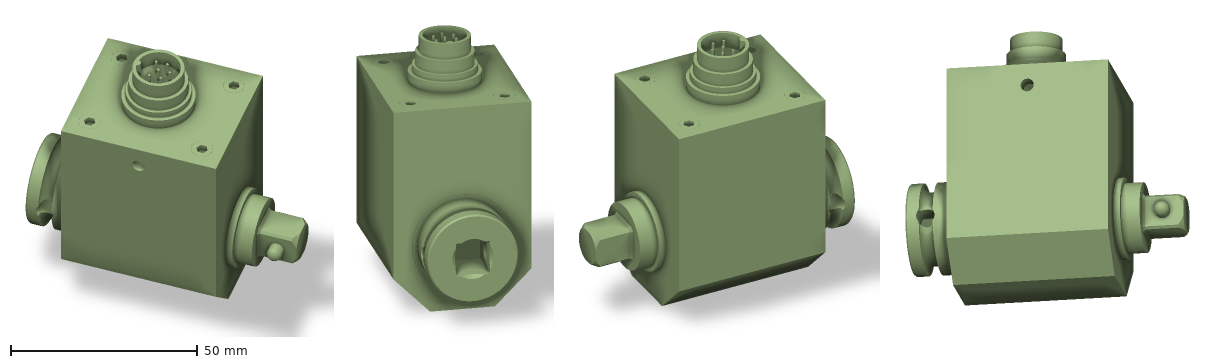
import cadquery as cq
import math


overall_length = 74.5

length = 44.1
width = 38.0
height = 57.95
axis_height = width / 2
edge_chamfer = 10.05
top = height - axis_height
bottom = -axis_height

ring_outer_diameter = 28.0
ring_inner_diameter = 27.4
ring_depth = 0.2

socket_length = 12.45
socket_diameter = 25.0
rim_length = 0.45
rim_inset = 0.4
groove_width = 3.8
groove_depth = 2.6
groove_setback = 5.6
cross_hole_setback = 5.5
cross_hole_diameter = 5.0
socket_square = 9.45
socket_corner_radius = 0.3
socket_depth = 11.9
lead_in_diameter = 11.5

flange_length = 1.8
flange_diameter = 22.05
collar_length = 5.1
collar_diameter = 19.0
drive_length = overall_length - socket_length - length - flange_length - collar_length
drive_square = 9.5
drive_edge_chamfer = 0.7
root_flare = 0.7
flare_edge_chamfer = drive_edge_chamfer + root_flare * (2 - math.sqrt(2))
tip_radius = 5.0
tip_cone_length = 1.6
tip_cone_rise = 1.4
pin_diameter = 4.0
pin_straight = 2.0
pin_setback = 5.6

connector_x = -1.0
connector_steps = [(20.0, 3.0), (17.7, 1.85), (16.0, 3.7), (14.0, 4.5)]
connector_bore = 12.0
connector_bore_depth = 4.55
key_diameter = 1.9
contact_diameter = 0.75
contact_height = 3.9
contact_circle_radius = 3.2
contact_angles = [-120, -60, 0, 60, 120]

screw_pitch_x = 31.95
screw_pitch_y = 25.9
screw_recess_diameter = 5.8
screw_head_diameter = 5.7
screw_gap_depth = 0.2
hexagon_corners = 3.2
hexagon_depth = 1.85

front_hole_diameter = 3.6
front_hole_depth = 4.5
front_hole_drop = 5.95
drill_point_angle = 118.0

socket_face = -length / 2 - socket_length
collar_start = length / 2 + flange_length
drive_start = collar_start + collar_length
drive_tip = drive_start + drive_length


def x_plane(x):
    return cq.Workplane("YZ", origin=(x, 0, 0))


def z_plane(z, x=0.0):
    return cq.Workplane("XY", origin=(x, 0, z))


def x_cylinder(x, diameter, cylinder_length):
    return x_plane(x).circle(diameter / 2).extrude(cylinder_length)


def turned(outline):
    """Revolve an outline drawn in X and radius about the drive axis."""
    return outline.close().revolve(360, (0, 0, 0), (1, 0, 0))


def make_housing():
    block = cq.Workplane("XY").box(length, width, height).translate((0, 0, (top + bottom) / 2))
    block = block.edges("|X and <Z").chamfer(edge_chamfer)
    ring = (
        x_plane(-length / 2)
        .circle(ring_outer_diameter / 2)
        .circle(ring_inner_diameter / 2)
        .extrude(ring_depth)
    )
    return block.cut(ring)


def make_socket():
    radius = socket_diameter / 2
    groove_middle = socket_face + groove_setback
    groove_radius = groove_width / 2
    arc_start_radius = radius - groove_depth + groove_radius
    return turned(
        cq.Workplane("XY")
        .moveTo(socket_face, 0)
        .lineTo(socket_face, radius - rim_inset)
        .lineTo(socket_face + rim_length, radius)
        .lineTo(groove_middle - groove_radius, radius)
        .lineTo(groove_middle - groove_radius, arc_start_radius)
        .threePointArc(
            (groove_middle, radius - groove_depth),
            (groove_middle + groove_radius, arc_start_radius),
        )
        .lineTo(groove_middle + groove_radius, radius)
        .lineTo(-length / 2, radius)
        .lineTo(-length / 2, 0)
    )


def make_socket_cuts():
    square = (
        x_plane(socket_face)
        .rect(socket_square, socket_square)
        .extrude(socket_depth)
        .edges("|X")
        .fillet(socket_corner_radius)
    )
    lead_in_radius = lead_in_diameter / 2
    lead_in = turned(
        cq.Workplane("XY")
        .moveTo(socket_face, 0)
        .lineTo(socket_face, lead_in_radius)
        .lineTo(socket_face + lead_in_radius, 0)
    )
    cross_hole = (
        cq.Workplane("XZ", origin=(socket_face + cross_hole_setback, 0, 0))
        .circle(cross_hole_diameter / 2)
        .extrude(socket_diameter / 2, both=True)
    )
    return square.union(lead_in).union(cross_hole)


def make_drive():
    square = (
        x_plane(drive_start)
        .rect(drive_square, drive_square)
        .extrude(drive_length)
        .edges("|X")
        .chamfer(drive_edge_chamfer)
    )
    cone_base_radius = tip_radius + tip_cone_rise
    tip_envelope = turned(
        cq.Workplane("XY")
        .moveTo(drive_start, 0)
        .lineTo(drive_start, drive_square)
        .lineTo(drive_tip - tip_cone_length, drive_square)
        .lineTo(drive_tip - tip_cone_length, cone_base_radius)
        .lineTo(drive_tip, tip_radius)
        .lineTo(drive_tip, 0)
    )
    flare_width = drive_square + 2 * root_flare
    flare_sketch = cq.Sketch().rect(flare_width, flare_width).vertices().chamfer(flare_edge_chamfer)
    flare = x_plane(drive_start).placeSketch(flare_sketch).extrude(root_flare, taper=45)
    flange = x_cylinder(length / 2, flange_diameter, flange_length)
    collar = x_cylinder(collar_start, collar_diameter, collar_length)
    return flange.union(collar).union(square.intersect(tip_envelope)).union(flare)


def make_pin():
    dome_center = (drive_tip - pin_setback, -drive_square / 2 - pin_straight, 0)
    dome = cq.Workplane("XY").sphere(pin_diameter / 2).translate(dome_center)
    shank = (
        cq.Workplane("XZ", origin=(drive_tip - pin_setback, 0, 0))
        .circle(pin_diameter / 2)
        .extrude(drive_square / 2 + pin_straight)
    )
    return shank.union(dome)


def make_connector():
    level = top
    body = None
    for diameter, step_height in connector_steps:
        step = z_plane(level, connector_x).circle(diameter / 2).extrude(step_height)
        body = step if body is None else body.union(step)
        level += step_height
    floor = level - connector_bore_depth
    bore = z_plane(floor, connector_x).circle(connector_bore / 2).extrude(connector_bore_depth)
    key = (
        z_plane(floor, connector_x - connector_bore / 2)
        .circle(key_diameter / 2)
        .extrude(connector_bore_depth)
    )
    contact_points = [(0, 0)]
    for angle in contact_angles:
        turn = math.radians(angle)
        contact_points.append(
            (contact_circle_radius * math.cos(turn), contact_circle_radius * math.sin(turn))
        )
    contacts = (
        z_plane(floor, connector_x)
        .pushPoints(contact_points)
        .circle(contact_diameter / 2)
        .extrude(contact_height)
    )
    return body.cut(bore.cut(key)).union(contacts)


def make_screw_cuts():
    heads = z_plane(top).rect(screw_pitch_x, screw_pitch_y, forConstruction=True).vertices()
    gaps = (
        heads.circle(screw_recess_diameter / 2)
        .extrude(-screw_gap_depth)
        .cut(heads.circle(screw_head_diameter / 2).extrude(-screw_gap_depth))
    )
    return gaps.union(heads.polygon(6, hexagon_corners).extrude(-hexagon_depth))


def make_front_hole():
    radius = front_hole_diameter / 2
    point_length = radius / math.tan(math.radians(drill_point_angle / 2))
    straight_end = -width / 2 + front_hole_depth
    return (
        cq.Workplane("XY", origin=(0, 0, top - front_hole_drop))
        .moveTo(0, -width / 2)
        .lineTo(radius, -width / 2)
        .lineTo(radius, straight_end)
        .lineTo(0, straight_end + point_length)
        .close()
        .revolve(360, (0, 0, 0), (0, 1, 0))
    )


result = (
    make_housing()
    .union(make_socket())
    .cut(make_socket_cuts())
    .union(make_drive())
    .union(make_pin())
    .union(make_connector())
    .cut(make_screw_cuts())
    .cut(make_front_hole())
)